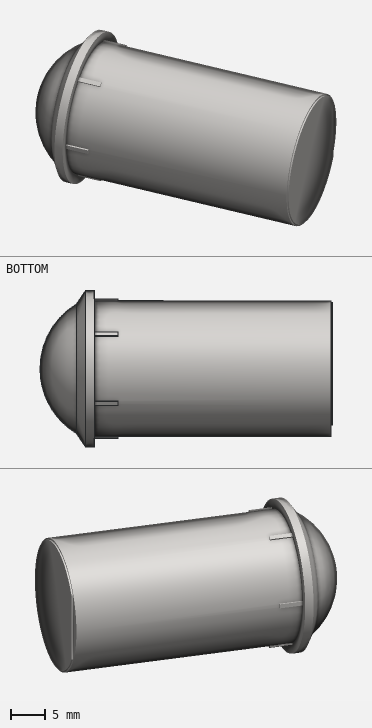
import cadquery as cq

total_length = 43.0
dome_radius = 11.1
dome_end_x = 5.35
bevel_end_x = 6.7
flange_back_x = 8.0
flange_radius = 23.0 / 2
barrel_radius = 20.0 / 2

rib_count = 6
rib_length = 3.5
rib_width = 0.65
rib_height = 0.25
rib_root_depth = 0.5

disk_thickness = 0.2
disk_inset = 0.25
disk_radius = barrel_radius - disk_inset
disk_flat_y = 8.25

barrel_end_x = total_length - disk_thickness


def dome_point(x):
    """Profile point on the spherical dome at axial position x."""
    return x, (x * (2 * dome_radius - x)) ** 0.5


def make_body():
    """Dome, bevelled flange and barrel as one revolved profile."""
    profile = (
        cq.Workplane("XY")
        .moveTo(0, 0)
        .threePointArc(dome_point(dome_end_x / 2), dome_point(dome_end_x))
        .lineTo(bevel_end_x, flange_radius)
        .lineTo(flange_back_x, flange_radius)
        .lineTo(flange_back_x, barrel_radius)
        .lineTo(barrel_end_x, barrel_radius)
        .lineTo(barrel_end_x, 0)
        .close()
    )
    return profile.revolve(360, (0, 0, 0), (1, 0, 0))


def make_rib(angle):
    """Flat-topped rib rooted inside the barrel, turned about X from the +Y side."""
    root_radius = barrel_radius - rib_root_depth
    return (
        cq.Workplane("XY")
        .box(rib_length, rib_root_depth + rib_height, rib_width, centered=(False, False, True))
        .translate((flange_back_x, root_radius, 0))
        .rotate((0, 0, 0), (1, 0, 0), angle)
    )


def make_end_disk():
    """Thin disk on the barrel end with a straight edge facing +Y."""
    disk = cq.Workplane("YZ", origin=(barrel_end_x, 0, 0)).circle(disk_radius).extrude(disk_thickness)
    keep = (
        cq.Workplane("YZ", origin=(barrel_end_x, disk_flat_y - disk_radius, 0))
        .rect(2 * disk_radius, 2 * disk_radius)
        .extrude(disk_thickness)
    )
    return disk.intersect(keep)


result = make_body().union(make_end_disk())
for index in range(rib_count):
    result = result.union(make_rib(index * 360 / rib_count))